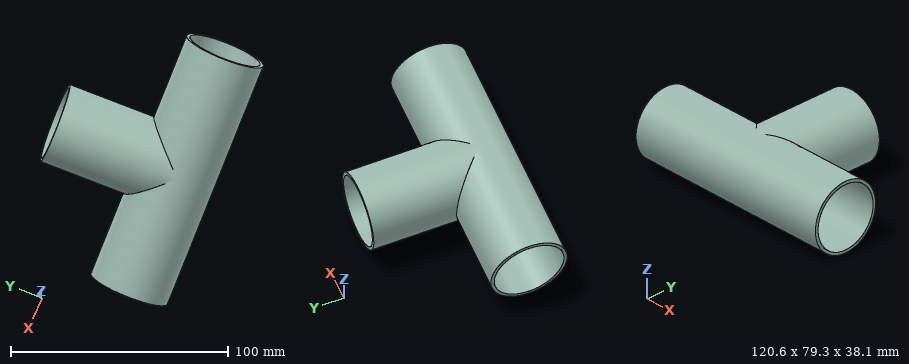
import cadquery as cq

run_length = 120.6
outer_diameter = 38.1
inner_diameter = 34.7
branch_reach = run_length / 2


def tee(diameter):
    """Solid tee whose run and branch share one diameter and meet at the origin."""
    run = cq.Workplane("YZ").circle(diameter / 2).extrude(run_length / 2, both=True)
    branch = cq.Workplane("XZ").circle(diameter / 2).extrude(-branch_reach)
    return run.union(branch)


result = tee(outer_diameter).cut(tee(inner_diameter))